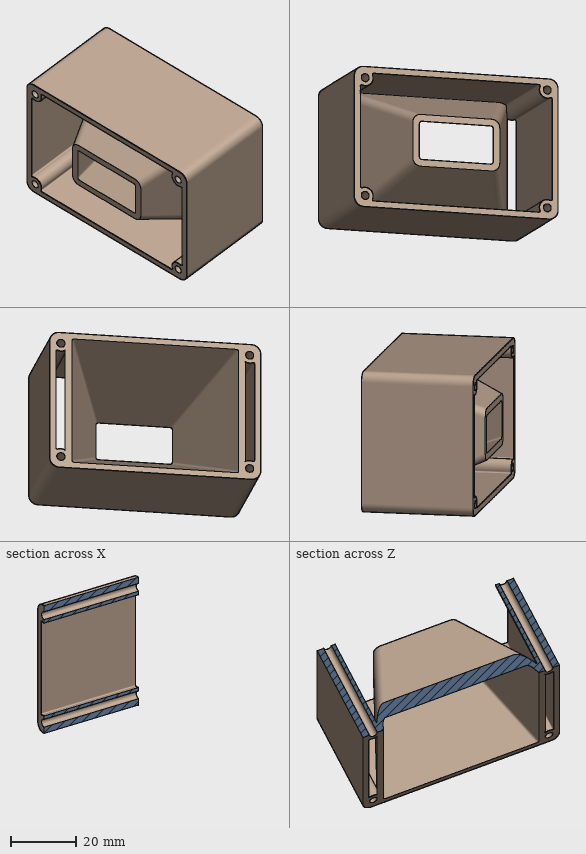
import cadquery as cq
import math

LENGTH = 66.0
DEPTH = 35.0
HEIGHT = 44.0
WALL = 2.05
CORNER_RADIUS = 3.0
RIM_CHAMFER = 0.1

BOSS_INSET = 3.55
BOSS_RADIUS = 2.6
BOSS_ROOT_FILLET = 0.4
SCREW_DIAMETER = 2.5

MOUTH_LENGTH = 23.8
MOUTH_HEIGHT = 11.9
FUNNEL_TAPER = 22.0
FUNNEL_WALL = 2.0
FUNNEL_OUTER_RADIUS = 2.8
FUNNEL_INNER_RADIUS = FUNNEL_OUTER_RADIUS - FUNNEL_WALL

FUNNEL_SPREAD = DEPTH * math.tan(math.radians(FUNNEL_TAPER))
MOUTH_RIM = FUNNEL_WALL / math.cos(math.radians(FUNNEL_TAPER))
BOSS_X = LENGTH / 2 - BOSS_INSET
BOSS_Z = HEIGHT / 2 - BOSS_INSET


def front_plane():
    """Sketch plane on the front face; sketches extrude into the part (+Y)."""
    return cq.Workplane(cq.Plane(origin=(0, 0, 0), xDir=(1, 0, 0), normal=(0, 1, 0)))


def back_plane():
    """Sketch plane on the back face; sketches extrude toward the front (-Y)."""
    return cq.Workplane(cq.Plane(origin=(0, DEPTH, 0), xDir=(1, 0, 0), normal=(0, -1, 0)))


def corner_cylinders(radius):
    """Full-depth cylinders on the four screw axes."""
    axes = front_plane().rect(2 * BOSS_X, 2 * BOSS_Z, forConstruction=True).vertices()
    return axes.circle(radius).extrude(DEPTH)


def tapered_block(mouth_length, mouth_height, radius):
    """Frustum widening from the mouth to the back, with rounded slanting edges."""
    back_length = mouth_length + 2 * FUNNEL_SPREAD
    back_height = mouth_height + 2 * FUNNEL_SPREAD
    block = back_plane().rect(back_length, back_height).extrude(DEPTH, taper=FUNNEL_TAPER)
    slanting_edges = block.edges("not(#Y)")
    return slanting_edges.fillet(radius)


def make_cavity():
    """Inner space of the sleeve, leaving a boss standing in each corner."""
    cavity = front_plane().rect(LENGTH - 2 * WALL, HEIGHT - 2 * WALL).extrude(DEPTH)
    cavity = cavity.cut(corner_cylinders(BOSS_RADIUS))
    return cavity.edges("|Y").fillet(BOSS_ROOT_FILLET)


def make_sleeve():
    block = front_plane().rect(LENGTH, HEIGHT).extrude(DEPTH)
    block = block.edges("|Y").fillet(CORNER_RADIUS)
    sleeve = block.cut(make_cavity())
    return sleeve.faces("<Y or >Y").edges().chamfer(RIM_CHAMFER)


def make_funnel():
    """Outside of the funnel, trimmed where it runs into the top and bottom walls."""
    funnel = tapered_block(
        MOUTH_LENGTH + 2 * MOUTH_RIM,
        MOUTH_HEIGHT + 2 * MOUTH_RIM,
        FUNNEL_OUTER_RADIUS,
    )
    envelope = front_plane().rect(LENGTH, HEIGHT - WALL).extrude(DEPTH)
    return funnel.intersect(envelope)


passage = tapered_block(MOUTH_LENGTH, MOUTH_HEIGHT, FUNNEL_INNER_RADIUS)
screw_holes = corner_cylinders(SCREW_DIAMETER / 2)
result = make_sleeve().union(make_funnel()).cut(passage).cut(screw_holes)